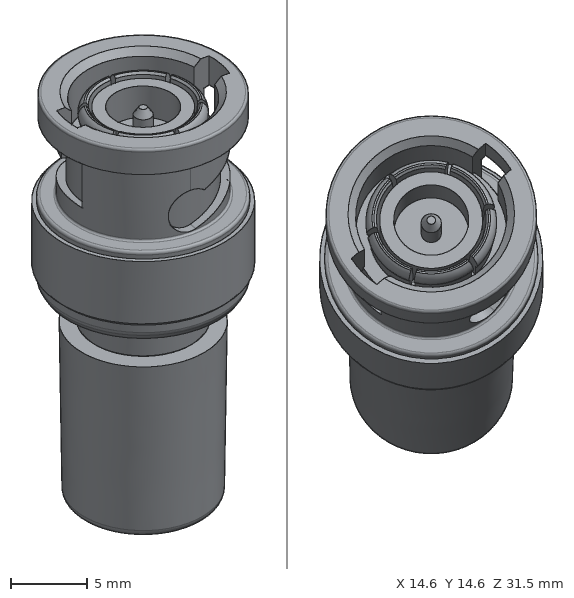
import cadquery as cq
import math

total_height = 31.45

sleeve_top_z = 13.52
sleeve_top_radius = 5.5
sleeve_bottom_radius = 5.3
sleeve_edge_fillet = 0.6

stem_radius = 4.37
stem_foot_radius = 4.25
stem_foot_height = 0.13

collar_bottom_z = 16.5
collar_radius = 7.3
collar_step_radius = 6.98
collar_grip_bottom_z = 17.77
collar_grip_top_z = 22.95
collar_top_z = 23.5
collar_grip_chamfer = collar_radius - collar_step_radius
collar_top_fillet = 0.22
collar_bottom_edge_radius = 6.67
collar_bottom_edge_fillet = 0.1
collar_bevel_top_z = 17.05
collar_bevel_fillet = 0.55

neck_radius = 5.7
neck_foot_fillet = 0.15
flange_radius = 6.9
flange_cone_bottom_z = 29.03
flange_cone_top_z = 29.5
flange_top_fillet = 0.2

bore_radius = 4.95
bore_floor_z = 27.83
mouth_radius = 5.45
mouth_cone_depth = 0.47

track_floor_radius = 5.05
track_width = 2.45
notch_radius = 6.07
lock_hole_radius = 1.6
lock_hole_z = 25.3
track_slope_deg = 14.2

finger_root_radius = 4.1
finger_root_z = 29.25
finger_bulge_radius = 4.25
finger_bulge_z = 30.07
finger_tip_z = 30.6
finger_tip_outer_radius = 3.87
finger_tip_inner_radius = 3.75
finger_bevel_radius = 3.6
finger_bevel_height = 0.15
finger_slot_width = 0.35
finger_slot_count = 6

insulator_radius = 3.35
insulator_bore_radius = 2.45
insulator_top_z = 30.3
pin_radius = 0.65
pin_tip_radius = 0.28
pin_shoulder_z = 29.7
pin_top_z = 30.25


def revolve_profile(points):
    """Revolve an (r, z) outline about the Z axis."""
    return cq.Workplane("XZ").polyline(points).close().revolve(360, (0, 0, 0), (0, 1, 0))


def disc(radius, bottom_z, top_z):
    return cq.Workplane("XY").workplane(offset=bottom_z).circle(radius).extrude(top_z - bottom_z)


def make_sleeve_and_stem():
    sleeve = revolve_profile([
        (0, 0),
        (sleeve_bottom_radius, 0),
        (sleeve_top_radius, sleeve_top_z),
        (0, sleeve_top_z),
    ]).faces("<Z").edges().fillet(sleeve_edge_fillet)
    stem = revolve_profile([
        (0, sleeve_top_z),
        (stem_foot_radius, sleeve_top_z),
        (stem_radius, sleeve_top_z + stem_foot_height),
        (stem_radius, collar_bottom_z),
        (0, collar_bottom_z),
    ])
    return sleeve.union(stem)


def make_collar():
    core = revolve_profile([
        (0, collar_bottom_z),
        (collar_bottom_edge_radius, collar_bottom_z),
        (collar_step_radius, collar_bevel_top_z),
        (collar_step_radius, collar_top_z),
        (0, collar_top_z),
    ])
    core = core.faces(">Z").edges().fillet(collar_top_fillet)
    core = core.faces("<Z").edges().fillet(collar_bottom_edge_fillet)
    bevel_top_edge = cq.NearestToPointSelector((0, 0, collar_bevel_top_z))
    core = core.edges("%CIRCLE").edges(bevel_top_edge).fillet(collar_bevel_fillet)
    grip = disc(collar_radius, collar_grip_bottom_z, collar_grip_top_z)
    grip = grip.faces("<Z").edges().chamfer(collar_grip_chamfer)
    return core.union(grip)


def make_bayonet_shell():
    shell = revolve_profile([
        (0, collar_top_z),
        (neck_radius, collar_top_z),
        (neck_radius, flange_cone_bottom_z),
        (flange_radius, flange_cone_top_z),
        (flange_radius, total_height),
        (0, total_height),
    ]).faces(">Z").edges().fillet(flange_top_fillet)
    mouth = revolve_profile([
        (0, bore_floor_z),
        (bore_radius, bore_floor_z),
        (bore_radius, total_height - mouth_cone_depth),
        (mouth_radius, total_height),
        (0, total_height),
    ])
    return shell.cut(mouth).union(make_neck_foot())


def make_neck_foot():
    """Concave ring that blends the neck into the top of the collar."""
    size = neck_foot_fillet
    foot_top_z = collar_top_z + size
    arc_bow = size * (1 - math.sqrt(0.5))
    return (
        cq.Workplane("XZ")
        .moveTo(track_floor_radius, collar_top_z)
        .lineTo(neck_radius + size, collar_top_z)
        .threePointArc((neck_radius + arc_bow, collar_top_z + arc_bow), (neck_radius, foot_top_z))
        .lineTo(track_floor_radius, foot_top_z)
        .close()
        .revolve(360, (0, 0, 0), (0, 1, 0))
    )


def make_bayonet_track():
    """Cutter for the track that enters at -Y and locks at -X."""
    half_width = track_width / 2
    slope = math.radians(track_slope_deg)
    reach = collar_radius

    lock_hole = (
        cq.Workplane("YZ").center(0, lock_hole_z).circle(lock_hole_radius).extrude(-reach)
    )

    tangent_y = -lock_hole_radius * math.sin(slope)
    tangent_z = lock_hole_z - lock_hole_radius * math.cos(slope)
    along_y, along_z = -math.cos(slope), math.sin(slope)
    across_y = track_width * math.sin(slope)
    across_z = track_width * math.cos(slope)
    far_y = tangent_y + reach * along_y
    far_z = tangent_z + reach * along_z
    slot = (
        cq.Workplane("YZ", origin=(half_width, 0, 0))
        .moveTo(tangent_y, tangent_z)
        .lineTo(far_y, far_z)
        .lineTo(far_y + across_y, far_z + across_z)
        .lineTo(tangent_y + across_y, tangent_z + across_z)
        .close()
        .extrude(-reach - half_width)
    )

    slot_mid_z = lock_hole_z + neck_radius * math.tan(slope)
    entry_height = total_height - slot_mid_z
    entry = (
        cq.Workplane("XY")
        .box(track_width, reach, entry_height, centered=(True, False, False))
        .translate((0, -reach, slot_mid_z))
        .intersect(disc(notch_radius, slot_mid_z, total_height))
    )

    core = disc(track_floor_radius, collar_bottom_z, bore_floor_z)
    return lock_hole.union(slot).union(entry).cut(core)


def make_spring_fingers():
    ring = (
        cq.Workplane("XZ")
        .moveTo(insulator_radius, bore_floor_z)
        .lineTo(finger_root_radius, bore_floor_z)
        .lineTo(finger_root_radius, finger_root_z)
        .threePointArc(
            (finger_bulge_radius, finger_bulge_z),
            (finger_tip_outer_radius, finger_tip_z),
        )
        .lineTo(finger_tip_inner_radius, finger_tip_z)
        .lineTo(finger_bevel_radius, finger_tip_z - finger_bevel_height)
        .close()
        .revolve(360, (0, 0, 0), (0, 1, 0))
    )
    height = finger_tip_z - bore_floor_z
    for index in range(finger_slot_count):
        slit = (
            cq.Workplane("XY")
            .box(bore_radius, finger_slot_width, height, centered=(False, True, False))
            .translate((0, 0, bore_floor_z))
            .rotate((0, 0, 0), (0, 0, 1), index * 360 / finger_slot_count)
        )
        ring = ring.cut(slit)
    return ring


def make_insulator_and_pin():
    insulator = disc(insulator_radius, bore_floor_z, insulator_top_z).cut(
        disc(insulator_bore_radius, bore_floor_z, insulator_top_z)
    )
    pin = revolve_profile([
        (0, bore_floor_z),
        (pin_radius, bore_floor_z),
        (pin_radius, pin_shoulder_z),
        (pin_tip_radius, pin_top_z),
        (0, pin_top_z),
    ])
    return insulator.union(pin)


body = make_sleeve_and_stem().union(make_collar()).union(make_bayonet_shell())
track = make_bayonet_track()
for angle in (0, 180):
    body = body.cut(track.rotate((0, 0, 0), (0, 0, 1), angle))

result = body.union(make_spring_fingers()).union(make_insulator_and_pin())